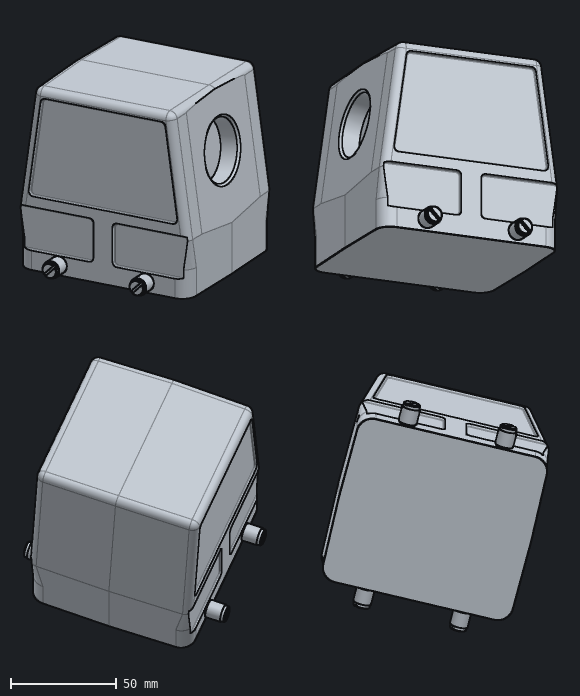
import cadquery as cq
import math

LENGTH = 94.0
WIDTH = 82.5
HEIGHT = 94.0
PIN_SPAN = 102.5
CROWN_ANGLE = 1.0
TAPER_ANGLE = 8.0
WAIST_Z = 30.0
CORNER_BLEND_Z = 14.9
FOOT_CORNER_RADIUS = 7.5
FOOT_CHAMFER = 0.26
UPPER_CORNER_RADIUS = 4.0

PANEL_DEPTH = 1.2
PANEL_WALL_DRAFT = 25.0
PANEL_FLOOR_FILLET = 0.4
PANEL_RIM_RADIUS = 2.6
WINDOW_BOTTOM_Z = 37.6
WINDOW_TOP_Z = 88.4
WINDOW_MARGIN = 5.3
LOWER_PANEL_BOTTOM_Z = 10.0
LOWER_PANEL_TOP_Z = 32.3
LOWER_PANEL_INNER_X = 5.1

FLAT_HALF_WIDTH = 28.6
ENTRY_DIAMETER = 32.0
ENTRY_CHAMFER = 1.2
ENTRY_DEPTH = 10.2
ENTRY_Z = 62.0

PIN_X = 23.6
PIN_Z = 5.7
PIN_DIAMETER = 8.8
PIN_TIP_DIAMETER = 8.0
PIN_TIP_LENGTH = 2.0
PIN_TIP_CHAMFER = 0.5
PIN_BASE_CHAMFER = 0.5
PIN_EMBED = 3.1
SLOT_WIDTH = 1.2
SLOT_DEPTH = 0.8
SLOT_ANGLE = 45.0

half_length = LENGTH / 2
half_width = WIDTH / 2
crown_slope = math.tan(math.radians(CROWN_ANGLE))
taper_slope = math.tan(math.radians(TAPER_ANGLE))
clearance = 10.2


def end_x(z):
    """Half length of the shell at the crown, at height z."""
    return half_length - max(0.0, z - WAIST_Z) * taper_slope


def half_outline(z, drop=0.0):
    """Corners of the Y > 0 half of the shell at height z; the outer two may sit lower by drop."""
    crown_x = end_x(z)
    corner_x = end_x(z - drop) - half_width * crown_slope
    return [
        cq.Vector(-crown_x, 0, z),
        cq.Vector(crown_x, 0, z),
        cq.Vector(corner_x, half_width, z - drop),
        cq.Vector(-corner_x, half_width, z - drop),
    ]


def make_upper_half():
    """Leaning upper part of the shell with a sloped roof and rounded outer edges."""
    bottom = half_outline(WAIST_Z)
    top = half_outline(HEIGHT, drop=half_width * crown_slope)
    outlines = [bottom, top]
    for i in range(len(bottom)):
        j = (i + 1) % len(bottom)
        outlines.append([bottom[i], bottom[j], top[j], top[i]])
    faces = [cq.Face.makeFromWires(cq.Wire.makePolygon(outline, close=True)) for outline in outlines]
    upper = cq.Workplane(cq.Solid.makeSolid(cq.Shell.makeShell(faces)))
    kept_sharp = upper.faces("<Y or <Z").edges().vals()
    rounded = upper.edges().filter(lambda edge: not any(edge.isSame(sharp) for sharp in kept_sharp))
    return rounded.fillet(UPPER_CORNER_RADIUS)


def foot_section(z):
    """Outline of the Y > 0 half below the waist, with its outer corners rounded."""
    outline = cq.Wire.makePolygon(half_outline(z), close=True)
    corners = [vertex for vertex in outline.Vertices() if vertex.Y > half_width / 2]
    return outline.fillet2D(FOOT_CORNER_RADIUS, corners)


def loft_between(lower_section, upper_section):
    return cq.Workplane(cq.Solid.makeLoft([lower_section, upper_section], True))


def make_shell():
    """Foot, corner blend and leaning upper part, mirrored about Y = 0."""
    upper = make_upper_half()
    waist = upper.faces("<Z").wires().val()
    foot_top = foot_section(CORNER_BLEND_Z)
    foot = loft_between(foot_section(0), foot_top)
    half = foot.union(loft_between(foot_top, waist)).union(upper)
    shell = half.union(half.mirror("XZ"))
    return shell.faces("<Z").chamfer(FOOT_CHAMFER)


def end_plane(height):
    """Plane lying on the flat +X face, centred at the given height, normal pointing outward."""
    x = end_x(height) - FLAT_HALF_WIDTH * crown_slope
    tilt = math.radians(TAPER_ANGLE)
    return cq.Plane(origin=(x, 0, height), xDir=(0, 1, 0), normal=(math.cos(tilt), 0, math.sin(tilt)))


def make_entry_cut():
    """Flat trimmed into the +X wall, with a blind chamfered bore square to it."""
    face = end_plane(ENTRY_Z)
    trim = cq.Workplane(face).rect(2 * WIDTH, 2 * HEIGHT).extrude(clearance)
    bore = cq.Workplane(face).circle(ENTRY_DIAMETER / 2).extrude(-ENTRY_DEPTH)
    mouth = (
        cq.Workplane(face)
        .circle(ENTRY_DIAMETER / 2 + ENTRY_CHAMFER)
        .workplane(offset=-ENTRY_CHAMFER)
        .circle(ENTRY_DIAMETER / 2)
        .loft()
    )
    return trim.union(bore).union(mouth)


def panel_cut(corners):
    """Recess in the -Y wall with rounded corners and a border sloping in to its floor."""
    points = [cq.Vector(x, -half_width, z) for x, z in corners]
    rim = cq.Wire.makePolygon(points, close=True)
    rim = rim.fillet2D(PANEL_RIM_RADIUS, rim.Vertices())
    wall = cq.Workplane("XZ", origin=(0, -half_width, 0))
    recess = wall.newObject([rim]).toPending().extrude(-PANEL_DEPTH, taper=PANEL_WALL_DRAFT)
    return recess.faces(">Y").edges().fillet(PANEL_FLOOR_FILLET)


def make_panel_cuts():
    """Window and two lower panels open at the end walls, on both side walls."""
    bottom_x = end_x(WINDOW_BOTTOM_Z) - WINDOW_MARGIN
    top_x = end_x(WINDOW_TOP_Z) - WINDOW_MARGIN
    window = panel_cut([
        (-bottom_x, WINDOW_BOTTOM_Z),
        (bottom_x, WINDOW_BOTTOM_Z),
        (top_x, WINDOW_TOP_Z),
        (-top_x, WINDOW_TOP_Z),
    ])
    outer_x = half_length + clearance
    lower = panel_cut([
        (LOWER_PANEL_INNER_X, LOWER_PANEL_BOTTOM_Z),
        (outer_x, LOWER_PANEL_BOTTOM_Z),
        (outer_x, LOWER_PANEL_TOP_Z),
        (LOWER_PANEL_INNER_X, LOWER_PANEL_TOP_Z),
    ])
    cuts = [window, lower, lower.mirror("YZ")]
    return cuts + [cut.mirror("XZ") for cut in cuts]


def make_pin():
    """Pin on the -Y wall, with a slotted reduced tip."""
    tip_y = -PIN_SPAN / 2
    tip_plane = cq.Workplane("XZ", origin=(0, tip_y, PIN_Z))
    wall_distance = PIN_SPAN / 2 - half_width
    core = tip_plane.circle(PIN_TIP_DIAMETER / 2).extrude(-wall_distance - PIN_EMBED)
    core = core.faces("<Y").chamfer(PIN_TIP_CHAMFER)
    shank = (
        cq.Workplane("XZ", origin=(0, tip_y + PIN_TIP_LENGTH, PIN_Z))
        .circle(PIN_DIAMETER / 2)
        .extrude(PIN_TIP_LENGTH - wall_distance)
    )
    shank = shank.faces(">Y").chamfer(PIN_BASE_CHAMFER)
    slot = (
        tip_plane.transformed(rotate=(0, 0, SLOT_ANGLE))
        .rect(2 * PIN_DIAMETER, SLOT_WIDTH)
        .extrude(-SLOT_DEPTH)
    )
    return core.union(shank).cut(slot)


result = make_shell().cut(make_entry_cut())
for cut in make_panel_cuts():
    result = result.cut(cut)
pin = make_pin()
for x in (-PIN_X, PIN_X):
    placed = pin.translate((x, 0, 0))
    result = result.union(placed).union(placed.mirror("XZ"))